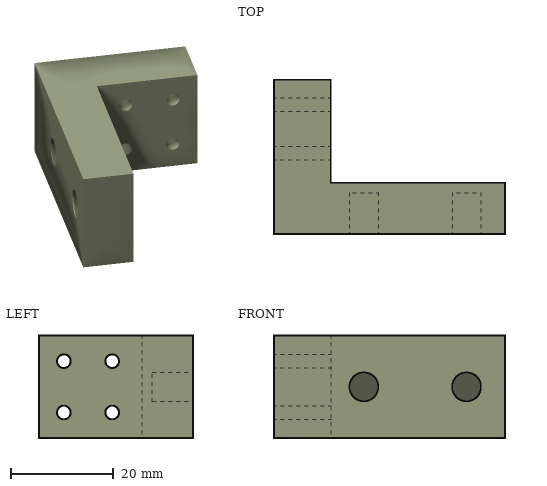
import cadquery as cq

length = 45.0
width = 30.0
height = 20.0
long_arm_thickness = 10.0
short_arm_thickness = 11.1

blind_diameter = 5.62
blind_depth = 8.0
blind_spacing = height
blind_first_x = 17.5

through_diameter = 2.6
through_end_distance = 4.85
through_spacing_y = 9.4
through_spacing_z = height / 2


def bracket_body():
    """L-shaped block with its outer corner at the origin."""
    long_arm = cq.Workplane("XY").box(length, long_arm_thickness, height, centered=False)
    short_arm = cq.Workplane("XY").box(short_arm_thickness, width, height, centered=False)
    return long_arm.union(short_arm)


def blind_holes():
    """Two flat-bottomed holes running in +Y at mid height."""
    centers = [(blind_first_x + i * blind_spacing, height / 2) for i in range(2)]
    return cq.Workplane("XZ").pushPoints(centers).circle(blind_diameter / 2).extrude(-blind_depth)


def through_holes():
    """Four holes in a rectangle, running in X through the short arm."""
    center_y = width - through_end_distance - through_spacing_y / 2
    return (
        cq.Workplane("YZ")
        .center(center_y, height / 2)
        .rarray(through_spacing_y, through_spacing_z, 2, 2)
        .circle(through_diameter / 2)
        .extrude(short_arm_thickness)
    )


result = bracket_body().cut(blind_holes()).cut(through_holes())